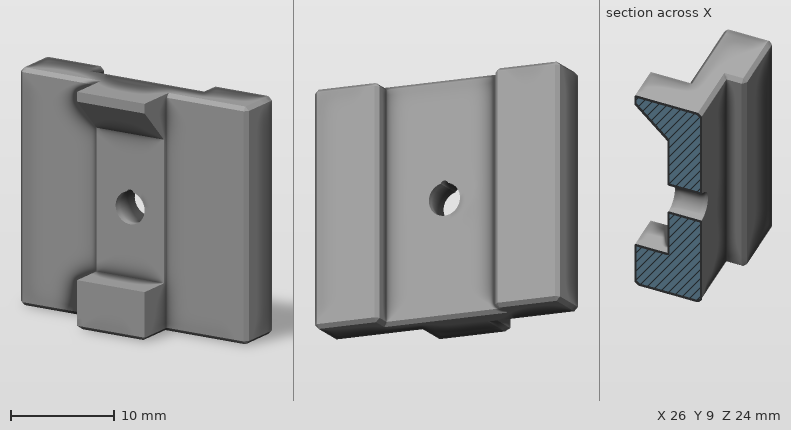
import cadquery as cq

width = 26.0
height = 24.0
depth = 9.0
plate_thickness = 5.0
edge_chamfer = 0.4

channel_width = 12.3
channel_depth = 2.0

column_width = 7.7
seat_bottom = 5.0
hook_tip = 1.0
hook_run = 3.5

hole_diameter = 3.3
relief_diameter = 0.88
relief_offset = 1.43

back_y = depth / 2
plate_front_y = back_y - plate_thickness
column_front_y = -depth / 2
seat_y = column_front_y + hook_run
bottom_z = -height / 2
top_z = height / 2


def box(x_size, y_start, y_end):
    """Full-height block, centred on X, between two Y positions."""
    block = cq.Workplane("XY").box(x_size, y_end - y_start, height)
    return block.translate((0, (y_start + y_end) / 2, 0))


def make_plate():
    """Plate with its back channel and chamfered outer edges."""
    plate = box(width, plate_front_y, back_y)
    plate = plate.cut(box(channel_width, back_y - channel_depth, back_y))
    rims = plate.faces("<Z or >Z").edges()
    uprights = plate.edges("|Z").edges("<Y or >Y")
    return plate.newObject(rims.vals() + uprights.vals()).chamfer(edge_chamfer)


def make_column():
    """Centre column, bevelled around its bottom at the front and sides."""
    column = box(column_width, column_front_y, back_y - channel_depth - edge_chamfer)
    return column.faces("<Z").edges("not >Y").chamfer(edge_chamfer)


def make_seat_cutter():
    """Side profile of the opening between the lower lip and the hook."""
    seat_floor_z = bottom_z + seat_bottom
    hook_edge_z = top_z - hook_tip
    return (
        cq.Workplane("YZ")
        .moveTo(column_front_y, seat_floor_z)
        .lineTo(seat_y, seat_floor_z)
        .lineTo(seat_y, hook_edge_z - hook_run)
        .lineTo(column_front_y, hook_edge_z)
        .close()
        .extrude(column_width / 2, both=True)
    )


def make_hole_cutter():
    """Round hole and its relief, running front to back."""
    hole = cq.Workplane("XZ").circle(hole_diameter / 2).extrude(depth, both=True)
    relief = (
        cq.Workplane("XZ")
        .center(0, relief_offset)
        .circle(relief_diameter / 2)
        .extrude(depth, both=True)
    )
    return hole.union(relief)


result = make_plate().union(make_column()).cut(make_seat_cutter()).cut(make_hole_cutter())